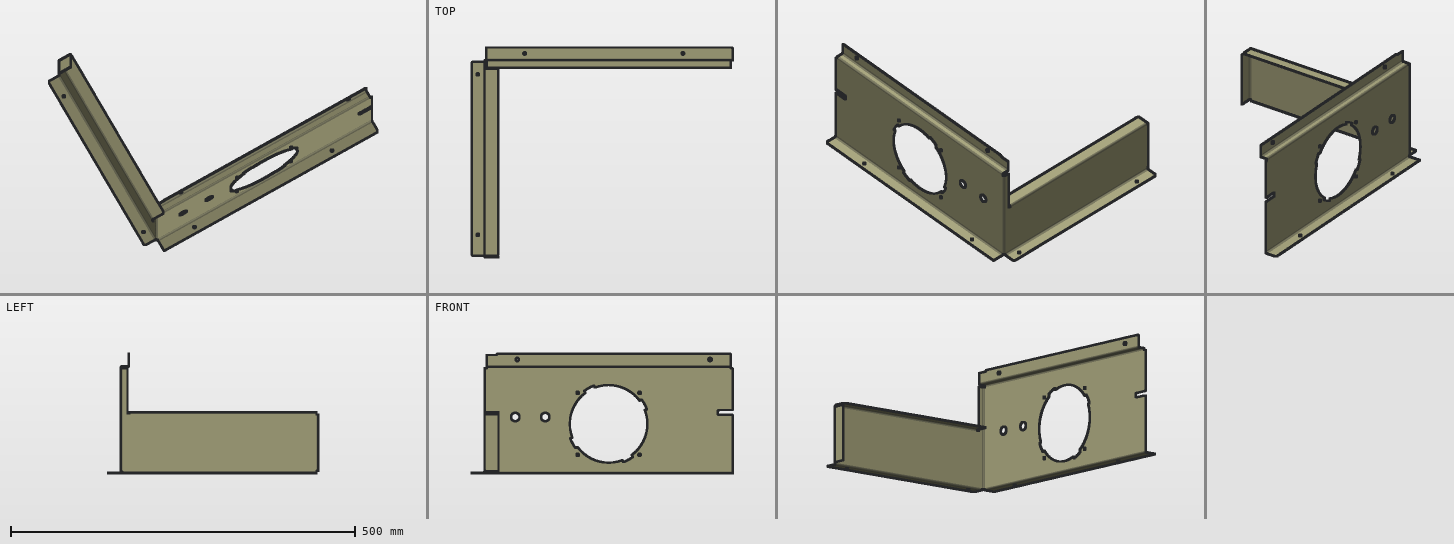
import cadquery as cq
import math

THICKNESS = 1.0
INNER_RADIUS = 1.0
OUTER_RADIUS = INNER_RADIUS + THICKNESS
CUT_DEPTH = 4 * THICKNESS
CORNER_RADIUS = 2.0
FLANGE_CORNER_RADIUS = 2.8

BACK_LENGTH = 361.0
SIDE_LENGTH = 287.0
OVERALL_HEIGHT = 174.0
SIDE_FOOT_REACH = 18.44
BACK_FOOT_REACH = 18.35
FOOT_START = 2.5

SHOULDER_HEIGHT = 152.7
LEDGE_TOP = 155.6
LEDGE_DEPTH = 12.1
RIM_START = 3.5
RIM_END = 358.0
RIM_STEP_DROP = 2.0
RIM_STEP_LENGTH = 14.0

SIDE_HEIGHT = 89.0
COLUMN_DEPTH = 10.0
TOP_FLANGE_START = 12.6
SIDE_FLANGE_REACH = 20.4
SIDE_END_GAP = 2.5
FRONT_FLANGE_BOTTOM = 3.4
FRONT_FLANGE_TOP = 85.6

FAN_X = 180.5
FAN_Z = 71.8
FAN_RADIUS = 56.2
FAN_LOBE_RADIUS = 59.4
FAN_LOBE_ANGLE = 28.7
FAN_LOBE_SPAN = 15.5
FAN_LOBE_COUNT = 4
FAN_SCREW_PITCH = 90.0
SCREW_DIAMETER = 3.2
CABLE_DIAMETER = 12.0
CABLE_HOLES_X = (45.0, 88.5)
CABLE_HOLES_Z = 81.8
RIM_HOLE_DIAMETER = 4.5
RIM_HOLES_X = (47.8, 327.8)
RIM_HOLE_DROP = 8.7
BACK_FOOT_HOLES_X = (58.5, 288.5)
SIDE_FOOT_HOLES_Y = (-21.0, -254.0)
FOOT_HOLE_EDGE = 9.0
SLOT_LENGTH = 22.0
SLOT_WIDTH = 6.4
SLOT_Z = 88.4


def block(x, y, z):
    """Box between the given (low, high) limits along each axis."""
    size = (x[1] - x[0], y[1] - y[0], z[1] - z[0])
    return cq.Workplane("XY").box(*size, centered=False).translate((x[0], y[0], z[0]))


def bend(plane, length):
    """Quarter bend around the virtual outer corner at the plane's origin."""
    arc = math.sqrt(0.5)
    outer_mid = OUTER_RADIUS * (1 - arc)
    inner_mid = OUTER_RADIUS - INNER_RADIUS * arc
    return (
        cq.Workplane(plane)
        .moveTo(OUTER_RADIUS, 0)
        .threePointArc((outer_mid, outer_mid), (0, OUTER_RADIUS))
        .lineTo(THICKNESS, OUTER_RADIUS)
        .threePointArc((inner_mid, inner_mid), (OUTER_RADIUS, THICKNESS))
        .close()
        .extrude(length)
    )


def fold(corner, reach_dir, run_dir, reach, length, start_radius=0, end_radius=0):
    """Bend and flange: corner is the virtual outer corner of the bend, the flange reaches out along
    reach_dir and runs along run_dir. The radii round its free corners at either end of the run."""
    plane = cq.Plane(origin=corner, xDir=reach_dir, normal=run_dir)
    flange = (
        cq.Workplane(plane)
        .moveTo(OUTER_RADIUS, 0)
        .lineTo(reach, 0)
        .lineTo(reach, THICKNESS)
        .lineTo(OUTER_RADIUS, THICKNESS)
        .close()
        .extrude(length)
    )
    for radius, at_end in ((start_radius, False), (end_radius, True)):
        if radius:
            flange = (
                flange.faces(cq.DirectionMinMaxSelector(plane.xDir))
                .edges(cq.ParallelDirSelector(plane.yDir))
                .edges(cq.DirectionMinMaxSelector(plane.zDir, at_end))
                .fillet(radius)
            )
    return bend(plane, length).union(flange)


def hole(centre, axis, diameter):
    """Drill through one sheet, centred on the given point."""
    plane = cq.Plane(origin=centre, normal=axis)
    return cq.Workplane(plane).circle(diameter / 2).extrude(CUT_DEPTH, both=True)


def back_wall():
    sheet = (-THICKNESS, 0)
    wall = block((OUTER_RADIUS, BACK_LENGTH), sheet, (OUTER_RADIUS, SHOULDER_HEIGHT))
    wall = wall.edges("|Y and >X and >Z").fillet(CORNER_RADIUS)
    neck = block((RIM_START, RIM_END), sheet, (SHOULDER_HEIGHT, LEDGE_TOP - OUTER_RADIUS))
    foot = fold((FOOT_START, -THICKNESS, 0), (0, 1, 0), (1, 0, 0),
                BACK_FOOT_REACH + THICKNESS, BACK_LENGTH - FOOT_START, end_radius=FLANGE_CORNER_RADIUS)
    return wall.union(neck).union(foot)


def rim():
    length = RIM_END - RIM_START
    ledge_bottom = LEDGE_TOP - THICKNESS
    ledge = fold((RIM_START, 0, LEDGE_TOP), (0, -1, 0), (1, 0, 0),
                 LEDGE_DEPTH - OUTER_RADIUS, length)
    lip = fold((RIM_END, -LEDGE_DEPTH, ledge_bottom), (0, 0, 1), (-1, 0, 0),
               OVERALL_HEIGHT - ledge_bottom, length, start_radius=CORNER_RADIUS)
    step_z = OVERALL_HEIGHT - RIM_STEP_DROP
    step_x = RIM_START + RIM_STEP_LENGTH
    step = (
        cq.Workplane("XZ")
        .moveTo(RIM_START, step_z)
        .lineTo(step_x, step_z)
        .lineTo(step_x + RIM_STEP_DROP, OVERALL_HEIGHT)
        .lineTo(RIM_START, OVERALL_HEIGHT)
        .close()
        .extrude(2 * LEDGE_DEPTH)
    )
    return ledge.union(lip).cut(step)


def corner_bend():
    plane = cq.Plane(origin=(0, 0, OUTER_RADIUS), xDir=(0, -1, 0), normal=(0, 0, 1))
    return bend(plane, SHOULDER_HEIGHT - OUTER_RADIUS)


def side_wall():
    sheet = (0, THICKNESS)
    flat_end = -SIDE_LENGTH + SIDE_END_GAP
    panel_top = SIDE_HEIGHT - OUTER_RADIUS
    panel = block(sheet, (flat_end, -OUTER_RADIUS), (OUTER_RADIUS, panel_top))
    column = block(sheet, (-COLUMN_DEPTH, -OUTER_RADIUS), (panel_top, SHOULDER_HEIGHT))
    column = column.edges("|X and <Y and >Z").fillet(CORNER_RADIUS)
    front_neck = block(sheet, (-SIDE_LENGTH + OUTER_RADIUS, flat_end),
                       (FRONT_FLANGE_BOTTOM, FRONT_FLANGE_TOP))
    foot = fold((THICKNESS, flat_end, 0), (-1, 0, 0), (0, 1, 0),
                SIDE_FOOT_REACH + THICKNESS, -FOOT_START - flat_end,
                FLANGE_CORNER_RADIUS, FLANGE_CORNER_RADIUS)
    top_flange = fold((0, flat_end, SIDE_HEIGHT), (1, 0, 0), (0, 1, 0),
                      SIDE_FLANGE_REACH, -TOP_FLANGE_START - flat_end,
                      FLANGE_CORNER_RADIUS, FLANGE_CORNER_RADIUS)
    front_flange = fold((0, -SIDE_LENGTH, FRONT_FLANGE_BOTTOM), (1, 0, 0), (0, 0, 1),
                        SIDE_FLANGE_REACH, FRONT_FLANGE_TOP - FRONT_FLANGE_BOTTOM)
    return panel.union(column).union(front_neck).union(foot).union(top_flange).union(front_flange)


def lobe_point(angle):
    """Point of the fan opening's lobe circle, relative to the fan axis."""
    turn = math.radians(angle)
    return FAN_LOBE_RADIUS * math.cos(turn), FAN_LOBE_RADIUS * math.sin(turn)


def fan_opening():
    plane = cq.Plane(origin=(FAN_X, 0, FAN_Z), xDir=(1, 0, 0), normal=(0, -1, 0))
    opening = cq.Workplane(plane).circle(FAN_RADIUS).extrude(CUT_DEPTH, both=True)
    for index in range(FAN_LOBE_COUNT):
        middle = FAN_LOBE_ANGLE + index * 360 / FAN_LOBE_COUNT
        first = lobe_point(middle - FAN_LOBE_SPAN / 2)
        last = lobe_point(middle + FAN_LOBE_SPAN / 2)
        lobe = (
            cq.Workplane(plane)
            .lineTo(*first)
            .threePointArc(lobe_point(middle), last)
            .close()
            .extrude(CUT_DEPTH, both=True)
        )
        opening = opening.union(lobe)
    for side in (-1, 1):
        for level in (-1, 1):
            x = FAN_X + side * FAN_SCREW_PITCH / 2
            z = FAN_Z + level * FAN_SCREW_PITCH / 2
            opening = opening.union(hole((x, 0, z), (0, 1, 0), SCREW_DIAMETER))
    return opening


def cut_edge_slot(body):
    """Slot into the free vertical edge of the back wall, rounded at its end and mouth."""
    half_width = SLOT_WIDTH / 2
    slot = block((BACK_LENGTH - SLOT_LENGTH, BACK_LENGTH), (-THICKNESS, 0),
                 (SLOT_Z - half_width, SLOT_Z + half_width))
    body = body.cut(slot.edges("|Y and <X").fillet(CORNER_RADIUS))
    mouth = cq.selectors.BoxSelector(
        (BACK_LENGTH - THICKNESS, -2 * THICKNESS, SLOT_Z - SLOT_WIDTH),
        (BACK_LENGTH + THICKNESS, THICKNESS, SLOT_Z + SLOT_WIDTH),
    )
    return body.edges("|Y").edges(mouth).fillet(CORNER_RADIUS)


def mounting_holes():
    rim_z = OVERALL_HEIGHT - RIM_HOLE_DROP
    back_foot_y = BACK_FOOT_REACH - FOOT_HOLE_EDGE
    side_foot_x = FOOT_HOLE_EDGE - SIDE_FOOT_REACH
    drills = [hole((x, 0, CABLE_HOLES_Z), (0, 1, 0), CABLE_DIAMETER) for x in CABLE_HOLES_X]
    drills += [hole((x, -LEDGE_DEPTH, rim_z), (0, 1, 0), RIM_HOLE_DIAMETER) for x in RIM_HOLES_X]
    drills += [hole((x, back_foot_y, 0), (0, 0, 1), SCREW_DIAMETER) for x in BACK_FOOT_HOLES_X]
    drills += [hole((side_foot_x, y, 0), (0, 0, 1), SCREW_DIAMETER) for y in SIDE_FOOT_HOLES_Y]
    return drills


result = back_wall().union(rim()).union(corner_bend()).union(side_wall())
result = cut_edge_slot(result.cut(fan_opening()))
for drill in mounting_holes():
    result = result.cut(drill)